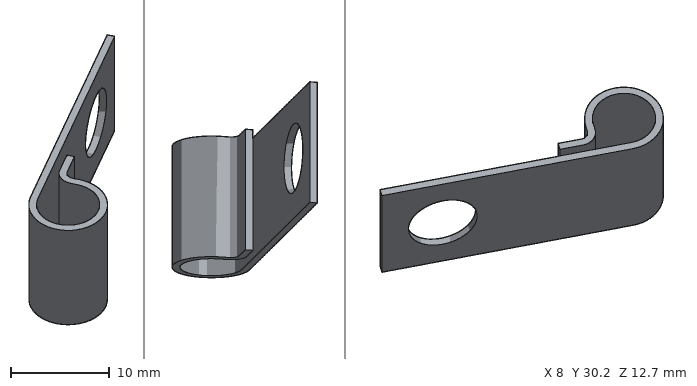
import cadquery as cq

length = 30.18
width = 12.7

loop_outer_diameter = 8.0
loop_inner_diameter = 6.4
loop_outer_radius = loop_outer_diameter / 2
loop_inner_radius = loop_inner_diameter / 2
thickness = loop_outer_radius - loop_inner_radius
strip_end_y = length - loop_outer_radius

lip_gap = 0.8
lip_end_y = 7.25
bend_inner_radius = 0.8
bend_outer_radius = bend_inner_radius + thickness
lip_left_x = -loop_inner_radius + lip_gap
lip_right_x = lip_left_x + thickness
bend_center_x = lip_left_x + bend_outer_radius
bend_center_y = loop_outer_radius + bend_inner_radius

hole_diameter = 7.15
hole_center_y = strip_end_y - width / 2

diagonal = 0.5 ** 0.5
bend_inner_offset = bend_inner_radius * diagonal
bend_outer_offset = bend_outer_radius * diagonal
loop_inner_offset = loop_inner_radius * diagonal
loop_outer_offset = loop_outer_radius * diagonal

clip = (
    cq.Workplane("XY")
    .moveTo(-loop_outer_radius, strip_end_y)
    .lineTo(-loop_outer_radius, 0)
    .threePointArc((loop_outer_offset, -loop_outer_offset), (0, loop_outer_radius))
    .lineTo(bend_center_x, loop_outer_radius)
    .threePointArc(
        (bend_center_x - bend_inner_offset, bend_center_y - bend_inner_offset),
        (lip_right_x, bend_center_y),
    )
    .lineTo(lip_right_x, lip_end_y)
    .lineTo(lip_left_x, lip_end_y)
    .lineTo(lip_left_x, bend_center_y)
    .threePointArc(
        (bend_center_x - bend_outer_offset, bend_center_y - bend_outer_offset),
        (bend_center_x, loop_inner_radius),
    )
    .lineTo(0, loop_inner_radius)
    .threePointArc((loop_inner_offset, -loop_inner_offset), (-loop_inner_radius, 0))
    .lineTo(-loop_inner_radius, strip_end_y)
    .close()
    .extrude(width)
)

hole_cutter = (
    cq.Workplane("YZ", origin=(-loop_outer_radius, 0, 0))
    .center(hole_center_y, width / 2)
    .circle(hole_diameter / 2)
    .extrude(thickness)
)

result = clip.cut(hole_cutter)